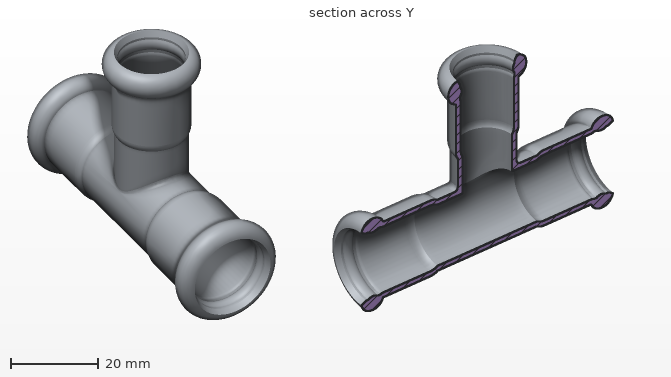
import cadquery as cq
import math

RUN_LENGTH = 73.0
BRANCH_HEIGHT = 40.69
WALL = 1.5
JUNCTION_FILLET = 1.0

RUN_TUBE = 20.0
RUN_SOCKET = 21.3
RUN_BEAD = 25.74
RUN_SHOULDER = 2.1
BRANCH_TUBE = 17.2
BRANCH_SOCKET = 18.3
BRANCH_BEAD = 22.8
BRANCH_SHOULDER = 1.8

BEAD_RADIUS = 3.3
MOUTH_OFFSET = 0.5

LIP_DEPTH = 1.4
SEAL_START = 2.0
SEAL_END = 4.85
LEAD_IN_START = 5.6
LEAD_IN_END = 6.4
SOCKET_DEPTH = 20.0
SEAL_HEIGHT = 0.25
THROAT_STEP = 0.2


def ring_centre(bead):
    return bead / 2 - BEAD_RADIUS


def step_middle(radius, z, far_radius, rise):
    """Middle of an arc leaving (radius, z) parallel to Z and ending at (far_radius, z + rise)."""
    radial = far_radius - radius
    arc_radius = (radial**2 + rise**2) / (2 * abs(radial))
    half_angle = math.asin(abs(rise) / arc_radius) / 2
    radial_shift = math.copysign(arc_radius * (1 - math.cos(half_angle)), radial)
    z_shift = math.copysign(arc_radius * math.sin(half_angle), rise)
    return radius + radial_shift, z + z_shift


def revolve_about_z(profile):
    return profile.close().revolve(360, (0, 0, 0), (0, 1, 0))


def socket_solid(length, tube, socket, bead, shoulder):
    """Filled outside shape of a shoulder, socket and bead, ending at Z = length."""
    centre = ring_centre(bead)
    socket_start = length - SOCKET_DEPTH
    bead_mid = length - math.sqrt(BEAD_RADIUS**2 - MOUTH_OFFSET**2)
    bead_foot = bead_mid - math.sqrt(BEAD_RADIUS**2 - (socket / 2 - centre)**2)
    return revolve_about_z(
        cq.Workplane("XZ")
        .moveTo(0, socket_start - shoulder)
        .lineTo(tube / 2, socket_start - shoulder)
        .threePointArc(
            step_middle(socket / 2, socket_start, tube / 2, -shoulder),
            (socket / 2, socket_start),
        )
        .lineTo(socket / 2, bead_foot)
        .threePointArc((bead / 2, bead_mid), (centre + MOUTH_OFFSET, length))
        .lineTo(0, length)
    )


def socket_cavity(length, tube, socket, bead, shoulder):
    """Hollow of a socket: mouth, lip, seal ring, throat, lead-in, bore and shoulder."""
    tube_bore = tube / 2 - WALL
    socket_bore = socket / 2 - WALL
    throat = socket_bore + THROAT_STEP
    seal_mid = (SEAL_START + SEAL_END) / 2
    socket_start = length - SOCKET_DEPTH
    return revolve_about_z(
        cq.Workplane("XZ")
        .moveTo(0, socket_start - shoulder)
        .lineTo(tube_bore, socket_start - shoulder)
        .threePointArc(
            step_middle(socket_bore, socket_start, tube_bore, -shoulder),
            (socket_bore, socket_start),
        )
        .lineTo(socket_bore, length - LEAD_IN_END)
        .threePointArc(
            step_middle(socket_bore, length - LEAD_IN_END, throat, LEAD_IN_END - LEAD_IN_START),
            (throat, length - LEAD_IN_START),
        )
        .lineTo(throat, length - SEAL_END)
        .threePointArc((socket_bore - SEAL_HEIGHT, length - seal_mid), (throat, length - SEAL_START))
        .lineTo(throat, length - LIP_DEPTH)
        .lineTo(ring_centre(bead) + MOUTH_OFFSET, length)
        .lineTo(0, length)
    )


def at_run_ends(socket):
    """Copies of an upright socket shape turned to the +X and -X ends of the run."""
    right = socket.rotate((0, 0, 0), (0, 1, 0), 90)
    left = socket.rotate((0, 0, 0), (0, 1, 0), -90)
    return right.union(left)


def run_tube(diameter):
    length = RUN_LENGTH - 2 * (SOCKET_DEPTH + RUN_SHOULDER)
    return cq.Workplane("YZ").circle(diameter / 2).extrude(length / 2, both=True)


def branch_tube(diameter):
    length = BRANCH_HEIGHT - SOCKET_DEPTH - BRANCH_SHOULDER
    return cq.Workplane("XY").circle(diameter / 2).extrude(length)


def filleted_tubes():
    """Run and branch tubes, filled, with their meeting edge rounded."""
    reach = RUN_TUBE / 2 + JUNCTION_FILLET
    around_junction = cq.selectors.BoxSelector((-reach, -reach, 0), (reach, reach, reach), True)
    tubes = run_tube(RUN_TUBE).union(branch_tube(BRANCH_TUBE))
    return tubes.edges(around_junction).fillet(JUNCTION_FILLET)


run_sizes = (RUN_LENGTH / 2, RUN_TUBE, RUN_SOCKET, RUN_BEAD, RUN_SHOULDER)
branch_sizes = (BRANCH_HEIGHT, BRANCH_TUBE, BRANCH_SOCKET, BRANCH_BEAD, BRANCH_SHOULDER)

body = (
    filleted_tubes()
    .union(at_run_ends(socket_solid(*run_sizes)))
    .union(socket_solid(*branch_sizes))
)
cavity = (
    run_tube(RUN_TUBE - 2 * WALL)
    .union(branch_tube(BRANCH_TUBE - 2 * WALL))
    .union(at_run_ends(socket_cavity(*run_sizes)))
    .union(socket_cavity(*branch_sizes))
)
result = body.cut(cavity)